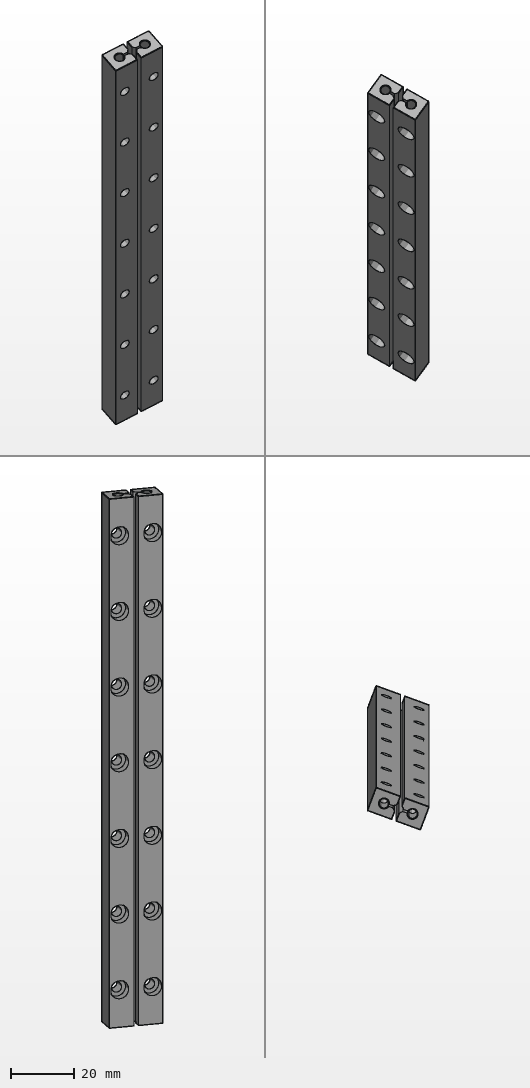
import cadquery as cq

LENGTH = 175.0
RAIL_WIDTH = 8.0
PAIR_DEPTH = 18.0
RAIL_GAP = 1.4
RAIL_DEPTH = (PAIR_DEPTH - RAIL_GAP) / 2

EDGE_CHAMFER = 0.2

GROOVE_OPENING = 2.6
GROOVE_DEPTH = GROOVE_OPENING / 2
RELIEF_WIDTH = 0.7
RELIEF_DEPTH = 2.6

HOLE_COUNT = 7
HOLE_PITCH = LENGTH / HOLE_COUNT
HOLE_DIAMETER = 3.3
COUNTERBORE_DIAMETER = 6.0
COUNTERBORE_DEPTH = 3.2
HOLE_FROM_OUTER_FACE = 3.5

END_HOLE_DIAMETER = 3.0
END_HOLE_DEPTH = 8.8
END_HOLE_MOUTH_DIAMETER = 3.5
END_HOLE_FROM_OUTER_FACE = 4.2
DRILL_POINT_HEIGHT = 0.9


def rail_blank():
    """Bar with its outer face at Y = 0 and its roller face at Y = RAIL_DEPTH."""
    blank = cq.Workplane("XY").box(RAIL_WIDTH, RAIL_DEPTH, LENGTH, centered=(True, False, True))
    return blank.edges("<Y or <Z or >Z").chamfer(EDGE_CHAMFER)


def roller_groove():
    """V groove along the whole rail, with the relief slot cut deeper through its apex."""
    half_opening = GROOVE_OPENING / 2
    half_relief = RELIEF_WIDTH / 2
    relief_bottom = RAIL_DEPTH - RELIEF_DEPTH
    relief_top = RAIL_DEPTH - GROOVE_DEPTH + half_relief
    outline = [
        (-half_opening, RAIL_DEPTH),
        (-half_relief, relief_top),
        (-half_relief, relief_bottom),
        (half_relief, relief_bottom),
        (half_relief, relief_top),
        (half_opening, RAIL_DEPTH),
    ]
    return cq.Workplane("XY").polyline(outline).close().extrude(LENGTH / 2, both=True)


def mounting_hole(z):
    """Through hole along X with a counterbore sunk from the -X side."""
    start = cq.Workplane("YZ", origin=(-RAIL_WIDTH / 2, HOLE_FROM_OUTER_FACE, z))
    through = start.circle(HOLE_DIAMETER / 2).extrude(RAIL_WIDTH)
    counterbore = start.circle(COUNTERBORE_DIAMETER / 2).extrude(COUNTERBORE_DEPTH)
    return through.union(counterbore)


def top_end_hole():
    """Blind hole down from the top end, revolved about its own axis."""
    radius = END_HOLE_DIAMETER / 2
    mouth_radius = END_HOLE_MOUTH_DIAMETER / 2
    profile = [
        (0, 0),
        (mouth_radius, 0),
        (radius, radius - mouth_radius),
        (radius, -END_HOLE_DEPTH),
        (0, -END_HOLE_DEPTH - DRILL_POINT_HEIGHT),
    ]
    start = cq.Workplane("XZ", origin=(0, END_HOLE_FROM_OUTER_FACE, LENGTH / 2))
    return start.polyline(profile).close().revolve(360, (0, 0, 0), (0, 1, 0))


def make_rail():
    """One complete rail, with its outer face at Y = 0."""
    rail = rail_blank().cut(roller_groove())
    lowest_hole = -HOLE_PITCH * (HOLE_COUNT - 1) / 2
    for index in range(HOLE_COUNT):
        rail = rail.cut(mounting_hole(lowest_hole + index * HOLE_PITCH))
    end_hole = top_end_hole()
    return rail.cut(end_hole).cut(end_hole.mirror("XY"))


front_rail = make_rail().translate((0, -PAIR_DEPTH / 2, 0))
rails = [front_rail, front_rail.mirror("XZ")]

result = cq.Compound.makeCompound([rail.val() for rail in rails])